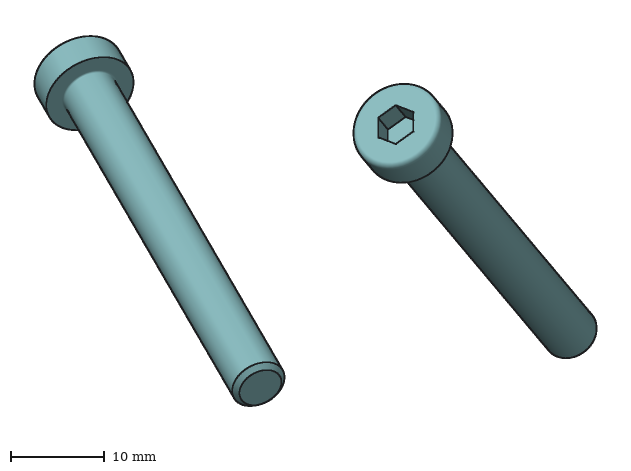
import cadquery as cq
import math

total_length = 54.0
head_diameter = 10.0
head_height = 4.0
head_edge_radius = 0.6
shank_diameter = 6.0
tip_chamfer = 0.6
neck_fillet = 0.2
socket_across_flats = 4.0
socket_depth = 3.0


def make_head():
    """Round head with a rounded outer edge on its socket face."""
    head = cq.Workplane("YZ").circle(head_diameter / 2).extrude(head_height)
    return head.edges("<X").fillet(head_edge_radius)


def make_shank():
    """Plain cylindrical shank with a chamfered tip."""
    shank = (
        cq.Workplane("YZ", origin=(head_height, 0, 0))
        .circle(shank_diameter / 2)
        .extrude(total_length - head_height)
    )
    return shank.edges(">X").chamfer(tip_chamfer)


def make_socket():
    """Hexagonal drive socket with two corners pointing along Z."""
    across_corners = socket_across_flats / math.cos(math.pi / 6)
    return (
        cq.Workplane("YZ")
        .transformed(rotate=(0, 0, 90))
        .polygon(6, across_corners)
        .extrude(socket_depth)
    )


def make_neck_fillet():
    """Concave ring blending the shank into the underside of the head."""
    shank_radius = shank_diameter / 2
    centre_x = head_height + neck_fillet
    centre_radius = shank_radius + neck_fillet
    arc_reach = neck_fillet * math.cos(math.pi / 4)
    return (
        cq.Workplane("XY")
        .moveTo(head_height, 0)
        .lineTo(head_height, centre_radius)
        .threePointArc(
            (centre_x - arc_reach, centre_radius - arc_reach),
            (centre_x, shank_radius),
        )
        .lineTo(centre_x, 0)
        .close()
        .revolve(360, (0, 0, 0), (1, 0, 0))
    )


screw = make_head().union(make_shank()).union(make_neck_fillet())
result = screw.cut(make_socket())